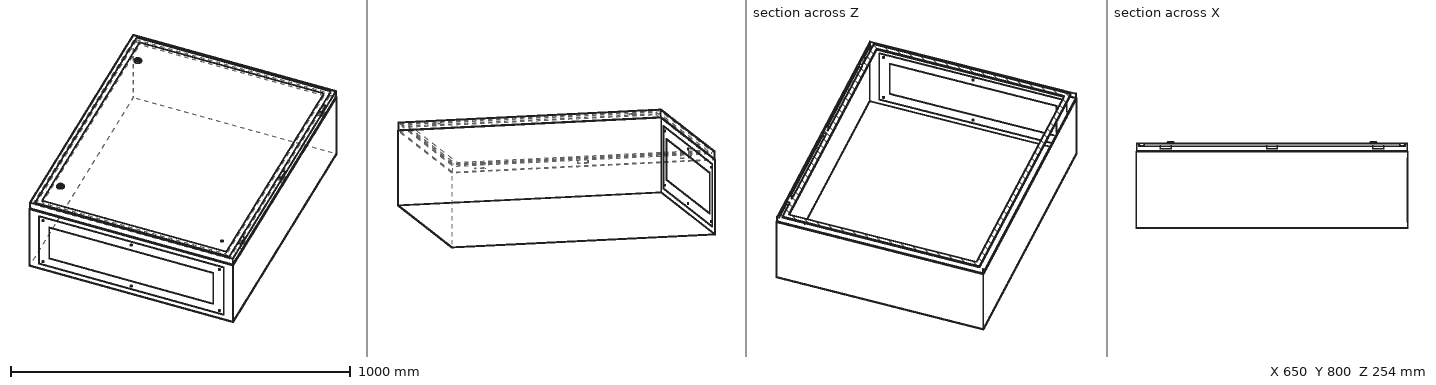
import cadquery as cq


width = 650.0
length = 800.0
overall_height = 254.0
sheet = 1.0

housing_height = 225.0

door_side_gap = 1.4
door_lift = 2.0
lock_height = 4.4
door_width = width - 2 * door_side_gap
door_length = length - 2 * door_side_gap
door_bottom = housing_height + door_lift
door_top = overall_height - lock_height
door_underside = door_top - sheet

seal_width = 619.0
seal_length = 784.0
seal_band = 16.0
seal_depth = 8.0

hinge_count = 3
hinge_pitch = 313.0
hinge_width = 10.0
hinge_length = 31.0
hinge_depth = 16.0
hinge_gap = 0.4
hinge_x = seal_width / 2 + hinge_gap + hinge_width / 2

lock_base_diameter = 22.0
lock_top_diameter = 16.0
key_hole_diameter = 10.0
key_hole_depth = 3.0
lock_x = -267.0
lock_spacing = 597.0

door_hole_diameter = 6.0
door_hole_x = 264.0
door_hole_y = -338.0

plate_width = 588.0
plate_height = 188.0
plate_thickness = sheet
opening_width = 523.0
opening_height = 122.0
gland_center_z = 112.0
wall_front = -length / 2
plate_front = wall_front + sheet

screw_diameter = 4.2
screw_columns = 3
screw_rows = 2
screw_pitch_x = 281.0
screw_pitch_z = 163.0


def block(size_x, size_y, bottom, top):
    """Box centred on the Z axis, reaching from one height to another."""
    return cq.Workplane("XY", origin=(0, 0, bottom)).rect(size_x, size_y).extrude(top - bottom)


def gland_plane(y):
    """Upright plane at the given Y, centred on the gland opening."""
    return cq.Workplane("XZ", origin=(0, y, gland_center_z))


def gland_panel(size_x, size_z, front, thickness):
    """Upright panel on the gland centre, from its front face toward +Y."""
    return gland_plane(front).rect(size_x, size_z).extrude(-thickness)


def screw_holes():
    """Cylinders that pass through the wall and the gland plate."""
    return (
        gland_plane(wall_front)
        .rarray(screw_pitch_x, screw_pitch_z, screw_columns, screw_rows)
        .circle(screw_diameter / 2)
        .extrude(-(sheet + plate_thickness))
    )


def make_housing():
    outer = block(width, length, 0, housing_height)
    cavity = block(width - 2 * sheet, length - 2 * sheet, sheet, housing_height)
    opening = gland_panel(opening_width, opening_height, wall_front, sheet)
    return outer.cut(cavity).cut(opening).cut(screw_holes())


def make_gland_plate():
    return gland_panel(plate_width, plate_height, plate_front, plate_thickness).cut(screw_holes())


def make_door_pan():
    outer = block(door_width, door_length, door_bottom, door_top)
    cavity = block(door_width - 2 * sheet, door_length - 2 * sheet, door_bottom, door_underside)
    hole = (
        cq.Workplane("XY", origin=(door_hole_x, door_hole_y, door_underside))
        .circle(door_hole_diameter / 2)
        .extrude(sheet)
    )
    return outer.cut(cavity).cut(hole)


def make_seal_frame():
    seal_bottom = door_underside - seal_depth
    outer = block(seal_width, seal_length, seal_bottom, door_underside)
    inner = block(seal_width - 2 * seal_band, seal_length - 2 * seal_band, seal_bottom, door_underside)
    return outer.cut(inner)


def make_hinge(y):
    hinge = block(hinge_width, hinge_length, door_underside - hinge_depth, door_underside)
    return hinge.translate((hinge_x, y, 0))


def make_lock(y):
    cone = (
        cq.Workplane("XY", origin=(lock_x, y, door_top))
        .circle(lock_base_diameter / 2)
        .workplane(offset=lock_height)
        .circle(lock_top_diameter / 2)
        .loft(ruled=True)
    )
    return cone.faces(">Z").workplane().hole(key_hole_diameter, key_hole_depth)


def make_door():
    """Door pan with its sealing frame, hinges and locks, all one solid."""
    door = make_door_pan().union(make_seal_frame())
    for index in range(hinge_count):
        door = door.union(make_hinge((index - (hinge_count - 1) / 2) * hinge_pitch))
    for side in (-1, 1):
        door = door.union(make_lock(side * lock_spacing / 2))
    return door


housing = make_housing()
door = make_door()
gland_plate = make_gland_plate()

result = cq.Compound.makeCompound([body.solids().val() for body in (housing, door, gland_plate)])